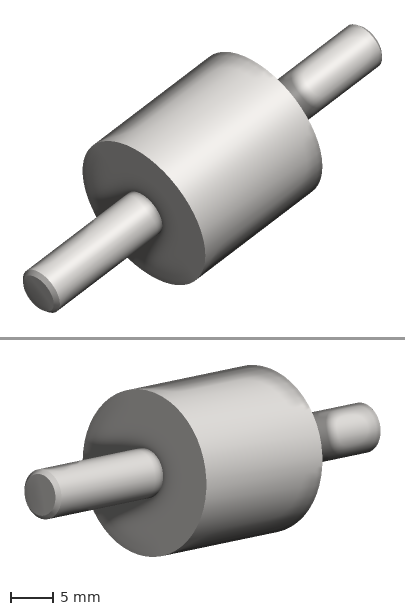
import cadquery as cq

total_length = 56.0
buffer_diameter = 20.0
buffer_length = buffer_diameter

stud_diameter = 6.0
tip_chamfer = 0.5
disc_diameter = 16.0
disc_thickness = 2.0

stud_length = (total_length - buffer_length) / 2
end_directions = (-1, 1)


def cylinder_along_y(diameter, start, length, direction):
    """Cylinder that starts at a distance from the origin and runs outward along Y."""
    end_plane = cq.Plane(
        origin=(0, direction * start, 0), xDir=(1, 0, 0), normal=(0, direction, 0)
    )
    return cq.Workplane(end_plane).circle(diameter / 2).extrude(length)


def make_disc(direction):
    """Disc whose outer face is flush with the end of the buffer."""
    disc_start = buffer_length / 2 - disc_thickness
    return cylinder_along_y(disc_diameter, disc_start, disc_thickness, direction)


def make_buffer():
    """Cylindrical buffer with a disc recess in each end."""
    buffer = cylinder_along_y(buffer_diameter, -buffer_length / 2, buffer_length, 1)
    for direction in end_directions:
        buffer = buffer.cut(make_disc(direction))
    return buffer


def make_end_fitting(direction):
    """Disc with a stud that has a chamfered tip."""
    stud = cylinder_along_y(stud_diameter, buffer_length / 2, stud_length, direction)
    tip_face = ">Y" if direction > 0 else "<Y"
    stud = stud.faces(tip_face).chamfer(tip_chamfer)
    return make_disc(direction).union(stud)


buffer = make_buffer()
end_fittings = [make_end_fitting(direction) for direction in end_directions]

result = cq.Compound.makeCompound(
    [buffer.val(), *[fitting.val() for fitting in end_fittings]]
)